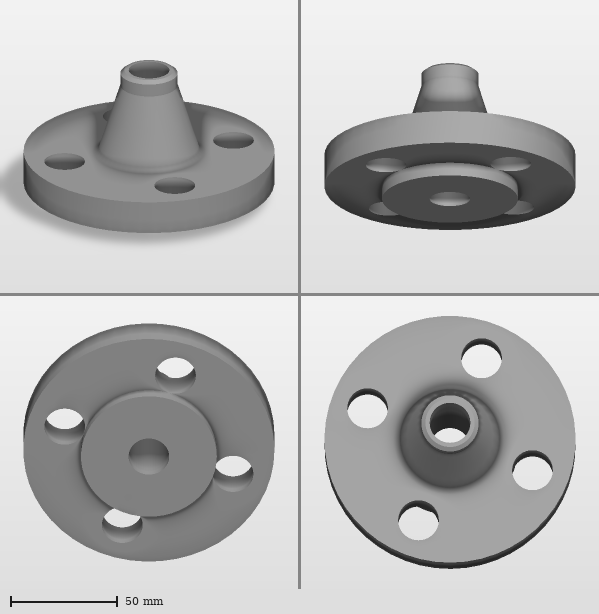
import cadquery as cq
import math

flange_diameter = 117.3
total_height = 63.5

raised_face_diameter = 63.5
raised_face_height = 6.3
flange_thickness = 15.7

hub_base_diameter = 48.0
hub_fillet_radius = 2.9
neck_diameter = 26.7
neck_length = 7.5
bevel_width = 1.9
bevel_angle = 37.5

bore_diameter = 19.0
bolt_hole_diameter = 19.0
bolt_circle_diameter = 82.5
bolt_count = 4

flange_top = raised_face_height + flange_thickness
neck_bottom = total_height - neck_length
bevel_height = bevel_width * math.tan(math.radians(bevel_angle))


def make_disc():
    """Flange disc standing on the raised gasket face."""
    raised_face = cq.Workplane("XY").circle(raised_face_diameter / 2).extrude(raised_face_height)
    disc = (
        cq.Workplane("XY")
        .workplane(offset=raised_face_height)
        .circle(flange_diameter / 2)
        .extrude(flange_thickness)
    )
    return raised_face.union(disc)


def make_hub():
    """Conical hub running into a short cylindrical neck with a welding bevel."""
    neck_radius = neck_diameter / 2
    profile = [
        (0, flange_top),
        (hub_base_diameter / 2, flange_top),
        (neck_radius, neck_bottom),
        (neck_radius, total_height - bevel_height),
        (neck_radius - bevel_width, total_height),
        (0, total_height),
    ]
    return cq.Workplane("XZ").polyline(profile).close().revolve(360, (0, 0, 0), (0, 1, 0))


def fillet_hub_base(body):
    """Round the inside corner where the hub meets the flange disc."""
    disc_top = body.faces("|Z").faces(cq.selectors.AreaNthSelector(-1))
    hub_edge = disc_top.edges(cq.selectors.RadiusNthSelector(0))
    return hub_edge.fillet(hub_fillet_radius)


def cut_bore(body):
    """Bore straight through along the axis."""
    bore = cq.Workplane("XY").circle(bore_diameter / 2).extrude(total_height)
    return body.cut(bore)


def cut_bolt_holes(body):
    """Bolt holes through the flange disc, starting on the X axis."""
    holes = (
        cq.Workplane("XY")
        .polarArray(bolt_circle_diameter / 2, 0, 360, bolt_count)
        .circle(bolt_hole_diameter / 2)
        .extrude(flange_top)
    )
    return body.cut(holes)


flange = make_disc().union(make_hub())
flange = fillet_hub_base(flange)
flange = cut_bore(flange)
result = cut_bolt_holes(flange)